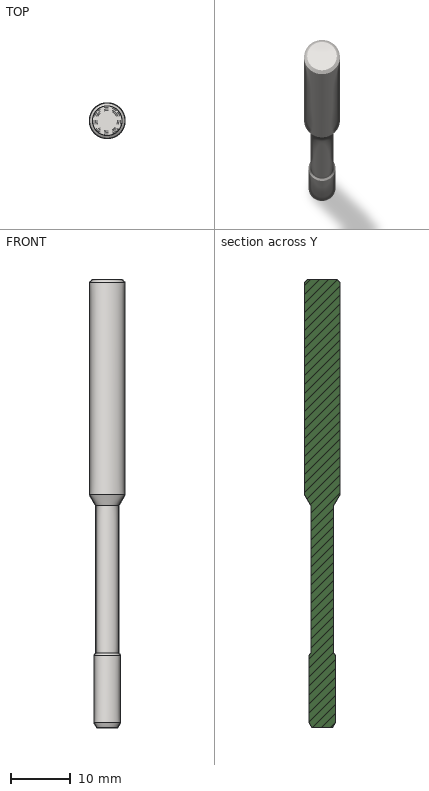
import cadquery as cq

length = 75.0
shank_radius = 3.0
neck_radius = 1.95
head_radius = 2.25
tip_radius = 1.7

tip_chamfer_height = 0.9
head_length = 12.15
head_shoulder_height = 0.4
shank_length = 36.0
shank_taper_height = 1.8
shank_chamfer = 0.5

bottom = -length / 2
top = length / 2
head_top = bottom + head_length
shank_bottom = top - shank_length

profile = [
    (0, bottom),
    (tip_radius, bottom),
    (head_radius, bottom + tip_chamfer_height),
    (head_radius, head_top),
    (neck_radius, head_top + head_shoulder_height),
    (neck_radius, shank_bottom - shank_taper_height),
    (shank_radius, shank_bottom),
    (shank_radius, top - shank_chamfer),
    (shank_radius - shank_chamfer, top),
    (0, top),
]

result = cq.Workplane("XZ").polyline(profile).close().revolve(360, (0, 0), (0, 1))